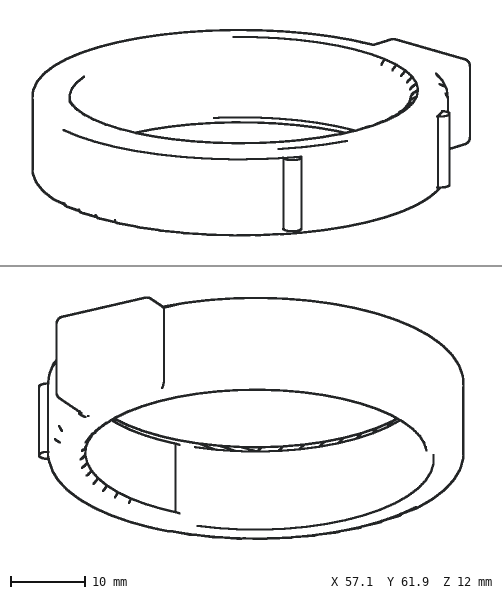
import cadquery as cq
import math

OUTER_RADIUS = 28.0
BORE_RADIUS = 23.0
HEIGHT = 12.0
EDGE_FILLET = 1.0

TAB_ANGLE = 26.4
TAB_RIGHT = 12.95
TAB_WIDTH = 14.9
TAB_ROOT_FILLET = EDGE_FILLET
TAB_REACH = 31.85

LINK_WIDTH = 4.0
LINK_ANGLES = (-5.2, 54.8)
BUMP_DIAMETER = 2.5
BUMP_CENTRE_RADIUS = OUTER_RADIUS

LINK_BOTTOM = EDGE_FILLET
LINK_HEIGHT = HEIGHT - 2 * EDGE_FILLET
LINK_OUTER_RADIUS = BORE_RADIUS + LINK_WIDTH
LINK_CENTRE_RADIUS = BORE_RADIUS + LINK_WIDTH / 2


def polar(radius, angle):
    """Point in the XY plane at a radius and an angle in degrees."""
    turn = math.radians(angle)
    return radius * math.cos(turn), radius * math.sin(turn)


def make_tab():
    """Block from the ring outwards, with its upright outer corners rounded."""
    tab_base = (OUTER_RADIUS + BORE_RADIUS) / 2 - EDGE_FILLET
    tab = cq.Workplane("XY").box(
        TAB_WIDTH, TAB_REACH - tab_base, HEIGHT, centered=False
    )
    tab = tab.edges("|Z and >Y").fillet(EDGE_FILLET)
    tab = tab.translate((TAB_RIGHT - TAB_WIDTH, tab_base, 0))
    return tab.rotate((0, 0, 0), (0, 0, 1), TAB_ANGLE)


def make_link():
    """Round-ended arc whose inner side continues the bore, plus its two bumps."""
    start, end = LINK_ANGLES
    middle = (start + end) / 2
    start_tip = cq.Vector(*polar(LINK_CENTRE_RADIUS, start)) + cq.Vector(*polar(LINK_WIDTH / 2, start - 90))
    end_tip = cq.Vector(*polar(LINK_CENTRE_RADIUS, end)) + cq.Vector(*polar(LINK_WIDTH / 2, end + 90))
    base = cq.Workplane("XY").workplane(offset=LINK_BOTTOM)
    link = (
        base.moveTo(*polar(BORE_RADIUS, start))
        .threePointArc(start_tip.toTuple()[:2], polar(LINK_OUTER_RADIUS, start))
        .threePointArc(polar(LINK_OUTER_RADIUS, middle), polar(LINK_OUTER_RADIUS, end))
        .threePointArc(end_tip.toTuple()[:2], polar(BORE_RADIUS, end))
        .threePointArc(polar(BORE_RADIUS, middle), polar(BORE_RADIUS, start))
        .close()
        .extrude(LINK_HEIGHT)
    )
    for angle in LINK_ANGLES:
        bump = (
            base.center(*polar(BUMP_CENTRE_RADIUS, angle))
            .circle(BUMP_DIAMETER / 2)
            .extrude(LINK_HEIGHT)
        )
        link = link.union(bump)
    return link


def make_ring(link):
    """Ring and tab with all top and bottom edges rounded, the tab root blended, recessed for the link."""
    blank = cq.Workplane("XY").circle(OUTER_RADIUS).extrude(HEIGHT).union(make_tab())
    bore = cq.Workplane("XY").circle(BORE_RADIUS).extrude(HEIGHT)
    ring = blank.cut(bore).faces("<Z or >Z").edges().fillet(EDGE_FILLET)
    root_angle = TAB_ANGLE + math.degrees(math.acos(TAB_RIGHT / OUTER_RADIUS))
    tab_root = (*polar(OUTER_RADIUS, root_angle), HEIGHT / 2)
    tab_root_edge = cq.selectors.NearestToPointSelector(tab_root)
    ring = ring.edges("|Z").edges(tab_root_edge).fillet(TAB_ROOT_FILLET)
    return ring.cut(link)


link = make_link()
ring = make_ring(link)
result = cq.Compound.makeCompound([ring.val(), link.val()])